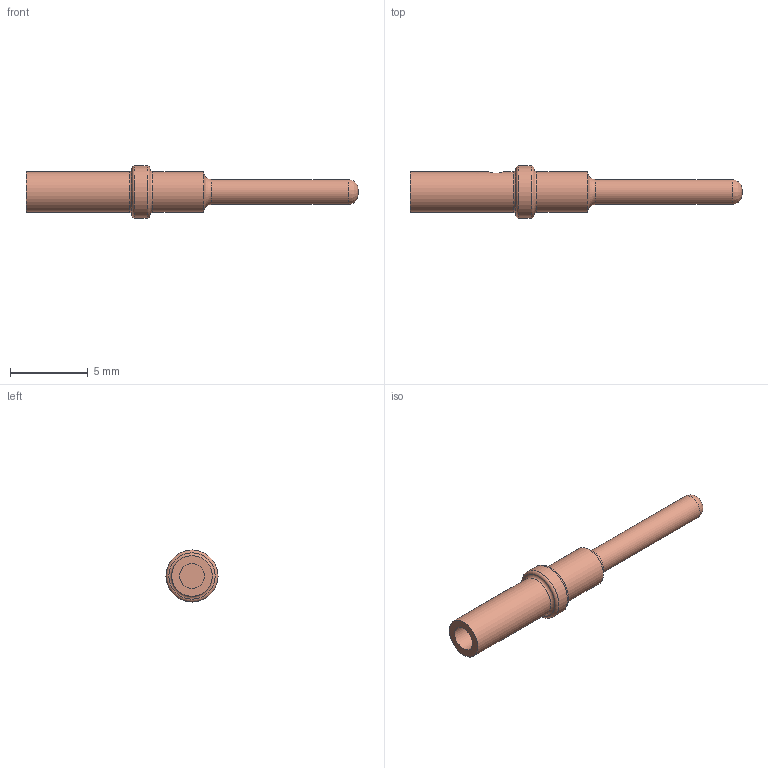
import cadquery as cq
import math


total_length = 21.3

barrel_radius = 1.3
barrel_end = 11.4

collar_radius = 1.67
collar_start = 6.8
collar_width = 1.15

pin_radius = 0.8
tip_round = 0.63

bore_diameter = 1.6
bore_depth = 6.5
inspection_diameter = 1.0
inspection_x = 5.5

collar_end = collar_start + collar_width
collar_blend = (collar_radius - barrel_radius) / 2
collar_mid_radius = barrel_radius + collar_blend
shoulder_blend = barrel_radius - pin_radius
tip_flat_radius = pin_radius - tip_round


def arc_to(profile, center, radius, mid_angle, end):
    """Add an arc passing through mid_angle (degrees) about center, finishing at end."""
    angle = math.radians(mid_angle)
    mid = (center[0] + radius * math.cos(angle), center[1] + radius * math.sin(angle))
    return profile.threePointArc(mid, end)


def make_body():
    """Revolve the half profile of barrel, collar, pin and rounded tip about X."""
    b = collar_blend
    profile = cq.Workplane("XZ").lineTo(0, barrel_radius).lineTo(collar_start - b, barrel_radius)

    profile = arc_to(profile, (collar_start - b, collar_mid_radius), b, -45, (collar_start, collar_mid_radius))
    profile = arc_to(profile, (collar_start + b, collar_mid_radius), b, 135, (collar_start + b, collar_radius))
    profile = profile.lineTo(collar_end - b, collar_radius)
    profile = arc_to(profile, (collar_end - b, collar_mid_radius), b, 45, (collar_end, collar_mid_radius))
    profile = arc_to(profile, (collar_end + b, collar_mid_radius), b, -135, (collar_end + b, barrel_radius))

    profile = profile.lineTo(barrel_end, barrel_radius)
    shoulder_end = barrel_end + shoulder_blend
    profile = arc_to(profile, (shoulder_end, barrel_radius), shoulder_blend, -135, (shoulder_end, pin_radius))

    tip_start = total_length - tip_round
    profile = profile.lineTo(tip_start, pin_radius)
    profile = arc_to(profile, (tip_start, tip_flat_radius), tip_round, 45, (total_length, tip_flat_radius))
    profile = profile.lineTo(total_length, 0).close()
    return profile.revolve(360, (0, 0, 0), (1, 0, 0))


def make_bore():
    """Blind wire bore from the barrel mouth."""
    return cq.Workplane("YZ").circle(bore_diameter / 2).extrude(bore_depth)


def make_inspection_hole():
    """Radial hole through the +Y wall of the barrel, ending in the bore."""
    sketch = cq.Workplane("XZ").center(inspection_x, 0).circle(inspection_diameter / 2)
    return sketch.extrude(-collar_radius)


result = make_body().cut(make_bore()).cut(make_inspection_hole())